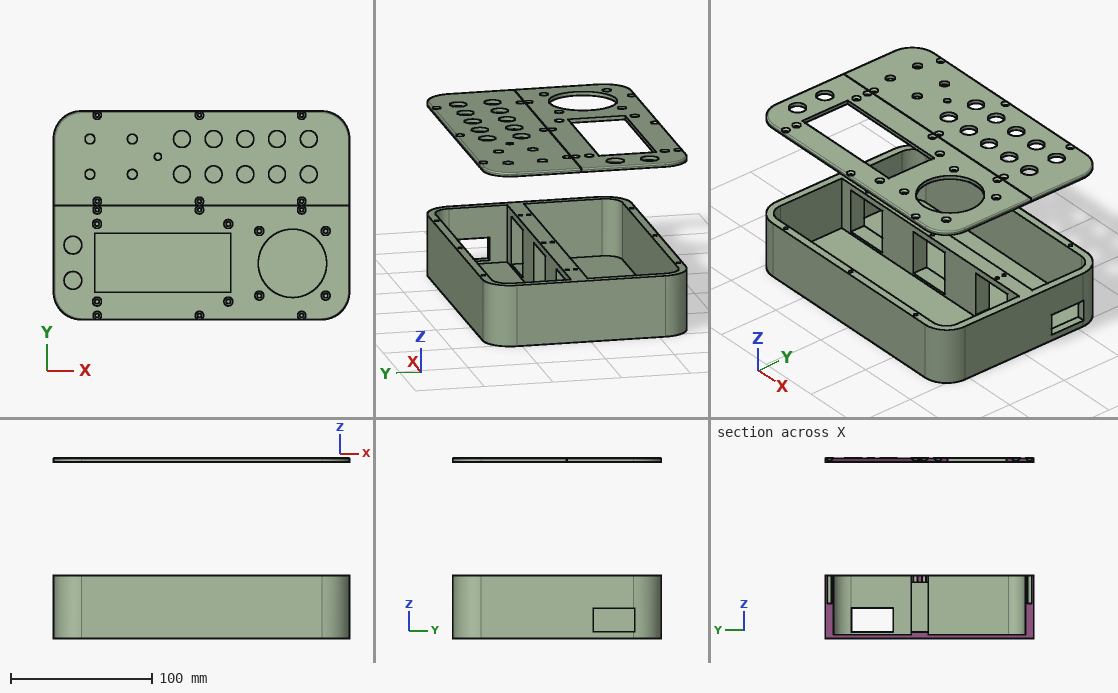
import cadquery as cq
import math

LENGTH = 210.0
WIDTH = 148.0
OVERALL_HEIGHT = 128.0
CORNER_RADIUS = 20.0

PATTERN_CENTRE_X = -1.5

HOUSING_HEIGHT = 45.0
WALL = 6.0
FLOOR = 3.0
INNER_CORNER_RADIUS = 12.2
DIVIDER_THICKNESS = 2 * WALL
SEAM_Y = 7.0

OPENING_SIZE = 35.0
OPENING_SILL = (HOUSING_HEIGHT - OPENING_SIZE) / 2
OPENING_PITCH = 69.7
OPENING_COUNT = 3
SIDE_OPENING_WIDTH = 29.5
SIDE_OPENING_HEIGHT = 16.8

PANEL_THICKNESS = 3.0
PANEL_TOP = OVERALL_HEIGHT
PANEL_BOTTOM = PANEL_TOP - PANEL_THICKNESS
PANEL_GAP = 0.5
EDGE_RADIUS = 1.0

SCREW_PITCH = 72.5
SCREW_COUNT = 3
SCREW_INSET = WALL / 2
PILOT_DIAMETER = 2.7
PILOT_DEPTH = 20.0
PANEL_HOLE_DIAMETER = 2.7
DEVICE_HOLE_DIAMETER = 3.2
COUNTERSINK_ANGLE = 90
COUNTERSINK_DEPTH = 1.58

DISPLAY_CENTRE = (-27.5, -33.5)
DISPLAY_SIZE = (96.5, 41.5)
DISPLAY_SCREW_SPACING = (93.0, 55.0)
PORT_CENTRE = (64.5, -34.0)
PORT_DIAMETER = 48.5
PORT_SCREW_SPACING = (47.0, 45.8)
SIDE_BUTTON_DIAMETER = 12.5
SIDE_BUTTON_CENTRE = (-91.1, -33.5)

ROW_SPACING = 25.0
REAR_ROWS_Y = 41.5
BUTTON_DIAMETER = 12.0
BUTTON_PITCH = 22.5
BUTTON_COLUMNS = 5
BUTTON_GRID_X = 31.0
KNOB_DIAMETER = 7.0
KNOB_SPACING = 30.0
KNOB_GRID_X = -64.0
LAMP_DIAMETER = 5.0
LAMP_X = -30.9

BACK_Y = WIDTH / 2
FRONT_Y = -WIDTH / 2


def rounded_block(length, width, radius, bottom, top):
    """Block centred on the Z axis with rounded vertical edges."""
    block = cq.Workplane("XY", origin=(0, 0, bottom)).rect(length, width).extrude(top - bottom)
    return block.edges("|Z").fillet(radius)


def y_slab(y_min, y_max, bottom, top):
    """Full-length block that spans the given range of Y and Z."""
    centre_y = (y_min + y_max) / 2
    return (
        cq.Workplane("XY", origin=(0, centre_y, bottom))
        .rect(LENGTH, y_max - y_min)
        .extrude(top - bottom)
    )


def grid(centre, spacing, columns, rows):
    """Points of a rectangular grid around a centre."""
    return [
        (
            centre[0] + (column - (columns - 1) / 2) * spacing[0],
            centre[1] + (row - (rows - 1) / 2) * spacing[1],
        )
        for column in range(columns)
        for row in range(rows)
    ]


def screw_row(y):
    """Screw positions along one long edge."""
    return grid((PATTERN_CENTRE_X, y), (SCREW_PITCH, 0), SCREW_COUNT, 1)


FRONT_PANEL_SCREWS = screw_row(FRONT_Y + SCREW_INSET) + screw_row(SEAM_Y - SCREW_INSET)
REAR_PANEL_SCREWS = screw_row(SEAM_Y + SCREW_INSET) + screw_row(BACK_Y - SCREW_INSET)


def make_housing():
    """Open tray with a divider, openings in the divider and in the +X wall, and screw pilots."""
    body = rounded_block(LENGTH, WIDTH, CORNER_RADIUS, 0, HOUSING_HEIGHT)
    cavity = rounded_block(
        LENGTH - 2 * WALL, WIDTH - 2 * WALL, INNER_CORNER_RADIUS, FLOOR, HOUSING_HEIGHT
    )
    divider_front = SEAM_Y - DIVIDER_THICKNESS / 2
    divider_back = SEAM_Y + DIVIDER_THICKNESS / 2
    divider = y_slab(divider_front, divider_back, FLOOR, HOUSING_HEIGHT)
    body = body.cut(cavity.cut(divider))

    opening_z = OPENING_SILL + OPENING_SIZE / 2
    for x, y in grid((PATTERN_CENTRE_X, SEAM_Y), (OPENING_PITCH, 0), OPENING_COUNT, 1):
        opening = cq.Workplane("XY").box(OPENING_SIZE, DIVIDER_THICKNESS, OPENING_SIZE)
        body = body.cut(opening.translate((x, y, opening_z)))

    side_opening_y = (divider_back + BACK_Y - WALL) / 2
    side_opening_z = OPENING_SILL + SIDE_OPENING_HEIGHT / 2
    side_opening = cq.Workplane("XY").box(WALL, SIDE_OPENING_WIDTH, SIDE_OPENING_HEIGHT)
    body = body.cut(side_opening.translate(((LENGTH - WALL) / 2, side_opening_y, side_opening_z)))

    return (
        body.faces(">Z")
        .workplane(origin=(0, 0, HOUSING_HEIGHT))
        .pushPoints(FRONT_PANEL_SCREWS + REAR_PANEL_SCREWS)
        .hole(PILOT_DIAMETER, PILOT_DEPTH)
    )


def panel_blank(y_min, y_max):
    """Part of the round-edged cover plate between two values of Y."""
    plate = rounded_block(LENGTH, WIDTH, CORNER_RADIUS, PANEL_BOTTOM, PANEL_TOP)
    plate = plate.faces(">Z").edges().fillet(EDGE_RADIUS)
    return plate.intersect(y_slab(y_min, y_max, PANEL_BOTTOM, PANEL_TOP))


def on_top(panel):
    """Workplane on the upper face of a panel."""
    return panel.faces(">Z").workplane(origin=(0, 0, PANEL_TOP))


def drill(panel, points, diameter):
    """Plain through holes."""
    return on_top(panel).pushPoints(points).hole(diameter)


def countersink(panel, points, diameter):
    """Countersunk screw holes whose cones all have the same depth."""
    cone_growth = 2 * COUNTERSINK_DEPTH * math.tan(math.radians(COUNTERSINK_ANGLE / 2))
    head_diameter = diameter + cone_growth
    return on_top(panel).pushPoints(points).cskHole(diameter, head_diameter, COUNTERSINK_ANGLE)


def make_front_panel():
    """Panel with the display window, the round port and the side buttons."""
    panel = panel_blank(FRONT_Y, SEAM_Y - PANEL_GAP / 2)
    panel = countersink(panel, FRONT_PANEL_SCREWS, PANEL_HOLE_DIAMETER)
    panel = countersink(panel, grid(DISPLAY_CENTRE, DISPLAY_SCREW_SPACING, 2, 2), DEVICE_HOLE_DIAMETER)
    panel = countersink(panel, grid(PORT_CENTRE, PORT_SCREW_SPACING, 2, 2), DEVICE_HOLE_DIAMETER)
    panel = drill(panel, [PORT_CENTRE], PORT_DIAMETER)
    panel = drill(panel, grid(SIDE_BUTTON_CENTRE, (0, ROW_SPACING), 1, 2), SIDE_BUTTON_DIAMETER)
    return on_top(panel).center(*DISPLAY_CENTRE).rect(*DISPLAY_SIZE).cutThruAll()


def make_rear_panel():
    """Panel with the button grid, the knob holes and the lamp hole."""
    buttons = grid((BUTTON_GRID_X, REAR_ROWS_Y), (BUTTON_PITCH, ROW_SPACING), BUTTON_COLUMNS, 2)
    knobs = grid((KNOB_GRID_X, REAR_ROWS_Y), (KNOB_SPACING, ROW_SPACING), 2, 2)
    panel = panel_blank(SEAM_Y + PANEL_GAP / 2, BACK_Y)
    panel = countersink(panel, REAR_PANEL_SCREWS, PANEL_HOLE_DIAMETER)
    panel = drill(panel, buttons, BUTTON_DIAMETER)
    panel = drill(panel, knobs, KNOB_DIAMETER)
    return drill(panel, [(LAMP_X, REAR_ROWS_Y)], LAMP_DIAMETER)


housing = make_housing()
front_panel = make_front_panel()
rear_panel = make_rear_panel()

result = cq.Compound.makeCompound([housing.val(), front_panel.val(), rear_panel.val()])